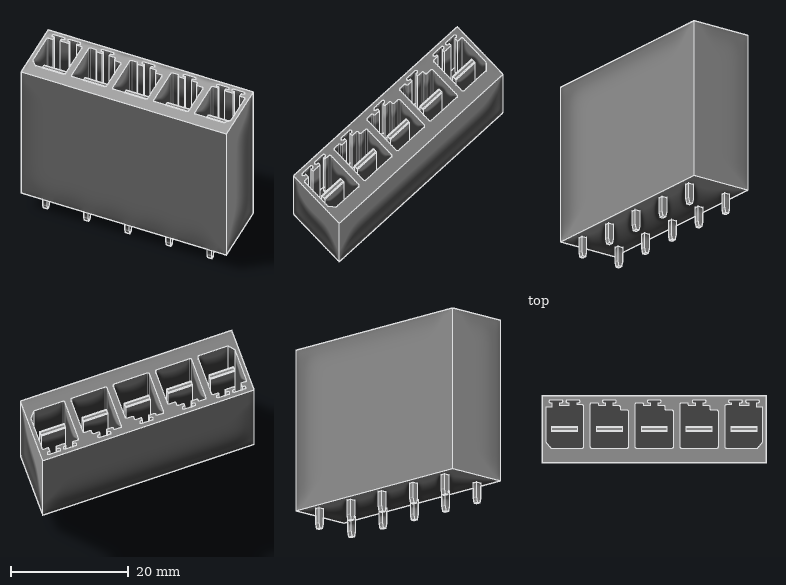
import cadquery as cq

pole_count = 5
pole_pitch = 7.62
housing_length = pole_count * pole_pitch
housing_depth = 11.4
housing_height = 28.3
overall_height = 31.8

floor_thickness = 4.0
pocket_half = 3.25
corner_radius = 0.26

key_top = 4.98
key_shoulder = 4.47
key_head_half = 1.16
key_neck_half = 0.64
key_radius = 0.24
tongue_face = 3.99

inner_step_half = 1.85
inner_back_left = key_shoulder
inner_step_radius = 0.2

end_outer_half = 3.15
end_key_offset = 1.45
end_back_outer = 3.78
end_back_inner = 4.16
end_back_radius = 0.15
end_chamfer_x = 0.9
end_chamfer_y = 1.05

blade_width = 4.4
blade_thickness = 0.85
blade_recess = 3.0
blade_top = housing_height - blade_recess
blade_bevel_y = 0.17
blade_bevel_z = 0.085
pin_thickness = 0.85
pin_width = 1.05
pin_spacing = pole_pitch
pin_length = overall_height - housing_height
pin_taper_length = 0.9
pin_tip_width = 0.6
bar_bottom = 1.0
bar_top = 3.0

pole_positions = [(i - (pole_count - 1) / 2) * pole_pitch for i in range(pole_count)]
pocket_depth = housing_height - floor_thickness


def pocket_prism(outline):
    """Extrude a closed outline from the pocket floor to the top of the housing."""
    return outline.extrude(pocket_depth)


def floor_plane():
    """Work plane on the pocket floor."""
    return cq.Workplane("XY").workplane(offset=floor_thickness)


def key_slot(center_x):
    """T-shaped slot: a rounded head above a narrower neck that opens into the pocket."""
    head_center = (key_top + key_shoulder) / 2
    head_height = key_top - key_shoulder
    head = pocket_prism(
        floor_plane()
        .center(center_x, head_center)
        .rect(2 * key_head_half, head_height)
    ).edges("|Z").fillet(key_radius)
    neck = pocket_prism(
        floor_plane()
        .center(center_x, (head_center + pocket_half) / 2)
        .rect(2 * key_neck_half, head_center - pocket_half)
    )
    return head.union(neck)


def inner_pocket():
    """Pocket of the inner poles, with one key slot and a stepped back wall."""
    step_zone_half = (inner_step_half + pocket_half - corner_radius) / 2
    step_zone = (
        (-step_zone_half, 0, floor_thickness),
        (step_zone_half, housing_depth / 2, housing_height),
    )
    body = pocket_prism(
        floor_plane()
        .moveTo(-pocket_half, -pocket_half)
        .lineTo(pocket_half, -pocket_half)
        .lineTo(pocket_half, pocket_half)
        .lineTo(inner_step_half, pocket_half)
        .lineTo(inner_step_half, tongue_face)
        .lineTo(-inner_step_half, tongue_face)
        .lineTo(-inner_step_half, inner_back_left)
        .lineTo(-pocket_half, inner_back_left)
        .close()
    )
    body = body.edges("|Z and (<X or >X)").fillet(corner_radius)
    body = body.edges("|Z").edges(cq.selectors.BoxSelector(*step_zone)).fillet(inner_step_radius)
    return body.union(key_slot(0))


def left_end_pocket():
    """Pocket of the left end pole, with two key slots and a chamfered outer corner."""
    left_neck = -end_key_offset - key_neck_half
    right_neck = end_key_offset + key_neck_half
    body = pocket_prism(
        floor_plane()
        .moveTo(-end_outer_half + end_chamfer_x, -pocket_half)
        .lineTo(pocket_half, -pocket_half)
        .lineTo(pocket_half, end_back_inner)
        .lineTo(right_neck, end_back_inner)
        .lineTo(right_neck, tongue_face)
        .lineTo(left_neck, tongue_face)
        .lineTo(left_neck, end_back_outer)
        .lineTo(-end_outer_half, end_back_outer)
        .lineTo(-end_outer_half, -pocket_half + end_chamfer_y)
        .close()
    )
    outer_back_edge = cq.NearestToPointSelector((-end_outer_half, end_back_outer, housing_height / 2))
    body = body.edges("|Z and >X").fillet(corner_radius)
    body = body.edges("|Z").edges(outer_back_edge).fillet(end_back_radius)
    return body.union(key_slot(-end_key_offset)).union(key_slot(end_key_offset))


def solder_pin(center_y):
    """Tapered solder pin reaching from the crossbar to below the housing."""
    half = pin_width / 2
    tip_half = pin_tip_width / 2
    taper_start = pin_taper_length - pin_length
    return (
        cq.Workplane("YZ")
        .polyline([
            (center_y - half, bar_top),
            (center_y - half, taper_start),
            (center_y - tip_half, -pin_length),
            (center_y + tip_half, -pin_length),
            (center_y + half, taper_start),
            (center_y + half, bar_top),
        ])
        .close()
        .extrude(pin_thickness / 2, both=True)
    )


def contact():
    """Blade, crossbar and two pins as one solid, standing on the pole axis."""
    blade = (
        cq.Workplane("XY", origin=(0, 0, bar_bottom))
        .rect(blade_width, blade_thickness)
        .extrude(blade_top - bar_bottom)
        .faces(">Z").edges("|X").chamfer(blade_bevel_z, blade_bevel_y)
    )
    bar = (
        cq.Workplane("XY", origin=(0, 0, bar_bottom))
        .rect(pin_thickness, pin_spacing + pin_width)
        .extrude(bar_top - bar_bottom)
    )
    body = blade.union(bar)
    for side in (-1, 1):
        body = body.union(solder_pin(side * pin_spacing / 2))
    return body


def pockets():
    """One pocket per pole; the right end pocket mirrors the left one."""
    left_end = left_end_pocket()
    inner = inner_pocket()
    shapes = [left_end.translate((pole_positions[0], 0, 0))]
    for x in pole_positions[1:-1]:
        shapes.append(inner.translate((x, 0, 0)))
    shapes.append(left_end.mirror("YZ").translate((pole_positions[-1], 0, 0)))
    return shapes


contacts = [contact().translate((x, 0, 0)) for x in pole_positions]

housing = cq.Workplane("XY").box(
    housing_length, housing_depth, housing_height, centered=(True, True, False)
)
for pocket in pockets():
    housing = housing.cut(pocket)
for body in contacts:
    housing = housing.cut(body)

result = cq.Compound.makeCompound([housing.val(), *[body.val() for body in contacts]])